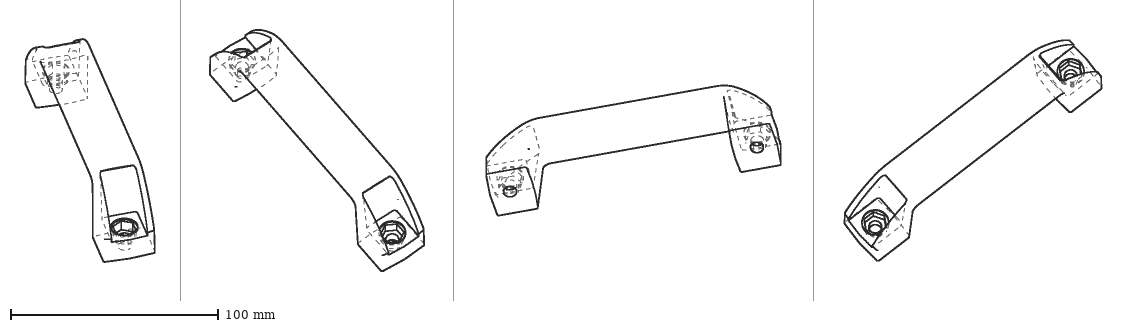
import cadquery as cq
import math

length = 142.0
width = 26.0
height = 39.9
half_length = length / 2

bow = 0.9
crown = 1.1

top_width = 24.3

shoulder_foot_z = 12.6
shoulder_mid = (60.9, 28.1)
shoulder_top = (45.5, 40.6)
shoulder_blend = 14.2

opening_half_bottom = 49.3
opening_height = 31.8
opening_draft = 5.2
opening_corner = 3.5

edge_round = 1.0

pocket_floor = 11.9
pocket_width = 18.0
pocket_back_x = 51.4
pocket_draft = 6.0
pocket_corner = 1.5
pocket_rim_round = 1.4
pocket_rim_angle = 60.0
pocket_wall_top = 37.2

screw_x = 61.0
screw_hole = 6.2
hex_flats = 10.0
hex_depth = 6.4
recess_diameter = 12.9
recess_depth = 0.9

tool_overlap = 1.5
tool_half_width = tool_overlap * width / 2
tool_bow = bow * tool_overlap**2


def shoulder_profile():
    """Side outline: straight ends below, an arched slope at each shoulder."""
    mid_x, mid_z = shoulder_mid
    top_x, top_z = shoulder_top
    return (
        cq.Workplane("XZ")
        .moveTo(-half_length, 0)
        .lineTo(half_length, 0)
        .lineTo(half_length, shoulder_foot_z)
        .threePointArc((mid_x, mid_z), (top_x, top_z))
        .lineTo(-top_x, top_z)
        .threePointArc((-mid_x, mid_z), (-half_length, shoulder_foot_z))
        .close()
        .extrude(width, both=True)
    )


def crowned_section():
    """Cross-section with leaning sides and a crowned top, run along X."""
    return (
        cq.Workplane("YZ")
        .moveTo(-width / 2, 0)
        .lineTo(width / 2, 0)
        .lineTo(top_width / 2, height - crown)
        .threePointArc((0, height), (-top_width / 2, height - crown))
        .close()
        .extrude(length, both=True)
    )


def bowed_plan():
    """Plan outline with each end face a shallow V, run up Z."""
    end_x = half_length - bow
    return (
        cq.Workplane("XY")
        .moveTo(-end_x, -width / 2)
        .lineTo(end_x, -width / 2)
        .lineTo(half_length, 0)
        .lineTo(end_x, width / 2)
        .lineTo(-end_x, width / 2)
        .lineTo(-half_length, 0)
        .close()
        .extrude(height)
    )


def make_blank():
    """Outer shape of the handle before the hand opening is removed."""
    blank = shoulder_profile().intersect(crowned_section())
    blank = blank.edges("%BSPLINE").fillet(shoulder_blend)
    return blank.intersect(bowed_plan())


def opening_plan(middle_x):
    """Plan outline of the opening: both leg walls bow inward to middle_x."""
    side_x = middle_x + tool_bow
    return (
        cq.Sketch()
        .segment((-side_x, -tool_half_width), (side_x, -tool_half_width))
        .arc((side_x, -tool_half_width), (middle_x, 0), (side_x, tool_half_width))
        .segment((side_x, tool_half_width), (-side_x, tool_half_width))
        .arc((-side_x, tool_half_width), (-middle_x, 0), (-side_x, -tool_half_width))
        .assemble()
    )


def make_opening():
    """Hand opening whose leg walls and roof bow into the gap."""
    half_top = opening_half_bottom - height * math.tan(math.radians(opening_draft))
    between_legs = (
        cq.Workplane("XY")
        .placeSketch(
            opening_plan(opening_half_bottom),
            opening_plan(half_top).moved(cq.Location(cq.Vector(0, 0, height))),
        )
        .loft(ruled=True)
    )
    roof_edge_z = opening_height + tool_bow
    under_roof = (
        cq.Workplane("YZ")
        .moveTo(-tool_half_width, 0)
        .lineTo(tool_half_width, 0)
        .lineTo(tool_half_width, roof_edge_z)
        .threePointArc((0, opening_height), (-tool_half_width, roof_edge_z))
        .close()
        .extrude(length, both=True)
    )
    opening = between_legs.intersect(under_roof)
    return opening.faces("%CYLINDER").edges("%BSPLINE").fillet(opening_corner)


def round_long_edges(handle):
    """Round every edge around both side faces except along the base."""
    return handle.faces("<Y or >Y").edges("not <Z").fillet(edge_round)


def make_pocket(side):
    """Pocket in one leg with a rounded back rim; side is -1 (left) or 1 (right)."""
    draft = math.radians(pocket_draft)
    wall_top_x = pocket_back_x - (pocket_wall_top - pocket_floor) * math.tan(draft)
    centre_x = wall_top_x - pocket_rim_round * math.cos(draft)
    centre_z = pocket_wall_top - pocket_rim_round * math.sin(draft)

    def rim_point(angle):
        return (
            side * (centre_x + pocket_rim_round * math.cos(angle)),
            centre_z + pocket_rim_round * math.sin(angle),
        )

    rim_end = math.radians(pocket_rim_angle)
    rim_end_x, rim_end_z = rim_point(rim_end)
    pocket = (
        cq.Workplane("XZ")
        .moveTo(side * length, pocket_floor)
        .lineTo(side * pocket_back_x, pocket_floor)
        .lineTo(*rim_point(draft))
        .threePointArc(rim_point((draft + rim_end) / 2), (rim_end_x, rim_end_z))
        .lineTo(rim_end_x, height)
        .lineTo(side * length, height)
        .close()
        .extrude(pocket_width / 2, both=True)
    )
    back_wall = cq.selectors.NearestToPointSelector(
        (side * (pocket_back_x + wall_top_x) / 2, 0, (pocket_floor + centre_z) / 2)
    )
    return pocket.faces(back_wall).edges("not |Y").fillet(pocket_corner)


def make_screw_seat(side):
    """Round recess, hexagon socket and through hole below one pocket."""
    hex_corners = hex_flats / math.cos(math.pi / 6)
    floor = cq.Workplane("XY", origin=(side * screw_x, 0, pocket_floor))
    recess = floor.circle(recess_diameter / 2).extrude(-recess_depth)
    socket = floor.polygon(6, hex_corners).extrude(-hex_depth)
    hole = floor.circle(screw_hole / 2).extrude(-pocket_floor)
    return recess.union(socket).union(hole)


result = round_long_edges(make_blank().cut(make_opening()))
for side in (-1, 1):
    result = result.cut(make_pocket(side))
    result = result.cut(make_screw_seat(side))